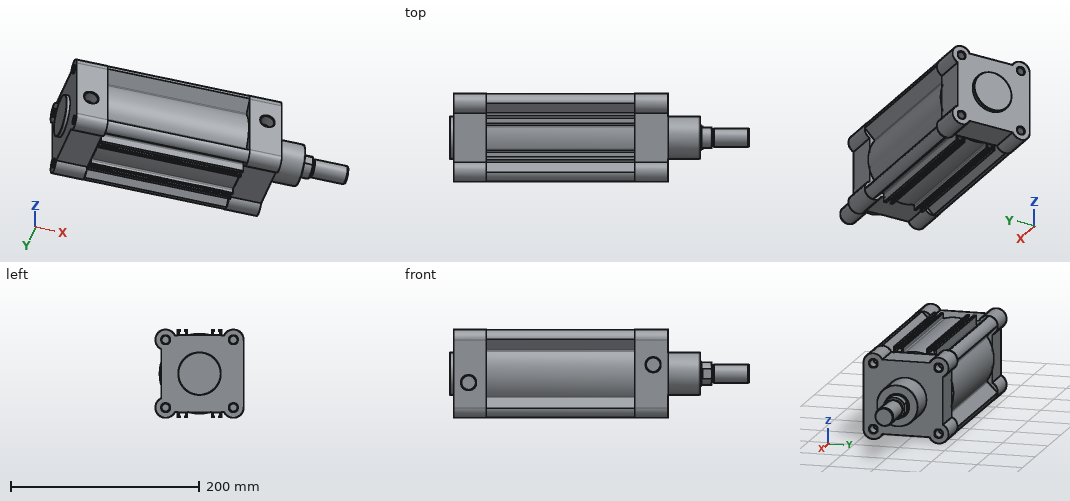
import cadquery as cq
import math


rear_cap_start = 4.0
rear_cap_end = 38.5
front_cap_start = 196.5
front_cap_end = 232.0
front_spigot_end = 266.0
wiper_lip_end = 266.6
wiper_end = 267.6
shoulder_end = 278.0
neck_end = 280.0
rod_end = 318.0

bolt_offset = 36.0
lobe_radius = 11.0
cap_half = 40.75
port_face = bolt_offset + lobe_radius
spigot_radius = 22.75
front_spigot_bevel_length = 1.5
spigot_bevel = 0.4

bolt_hole_radius = 4.2
bolt_hole_depth = 16.0
bolt_hole_chamfer = 0.8

port_radius = 7.5
port_chamfer = 0.8
port_depth = 14.0
port_inset = 16.0
port_height = 9.5

barrel_radius = 42.6
rail_round_radius = 10.75
rail_half_width = 7.07
rail_fillet = 1.0
ledge_height = 36.2
ledge_half_width = 27.0

slot_offset = 18.0
slot_opening = 5.0
slot_inner_width = 7.0
slot_inner_wall = 13.1
slot_outer_wall = 23.4
slot_floor = 41.5
slot_lip_bottom = 45.0
slot_top = 46.5
slot_inner_foot_fillet = 1.2
slot_outer_foot_fillet = 0.8

rod_radius = 12.2
wiper_radius = 13.3
across_flats = 22.0
flats_start = 268.5
shoulder_bevel_length = 1.0
shoulder_bevel = 0.2
neck_radius = 9.3
thread_radius = 10.0
thread_start_chamfer = 0.7
thread_end_chamfer_length = 1.5
thread_end_chamfer = 0.7


def disc(x_start, x_end, radius, y=0.0, z=0.0):
    """Cylinder along X."""
    return cq.Workplane("YZ", origin=(x_start, y, z)).circle(radius).extrude(x_end - x_start)


def block(x_start, x_end, y_min, y_max, z_min, z_max):
    """Box between the given limits."""
    return cq.Workplane("XY").box(
        x_end - x_start, y_max - y_min, z_max - z_min, centered=False
    ).translate((x_start, y_min, z_min))


def revolved(profile):
    """Turn a list of (x, radius) points around the X axis."""
    return cq.Workplane("XY").polyline(profile).close().revolve(360, (0, 0, 0), (1, 0, 0))


def chamfered_drill(radius, chamfer, depth, origin, direction):
    """Blind-hole cutter that is wider by the chamfer at its mouth."""
    start = cq.Vector(*origin)
    axis = cq.Vector(*direction)
    bore = cq.Solid.makeCylinder(radius, depth, start, axis)
    mouth = cq.Solid.makeCone(radius + chamfer, radius, chamfer, start, axis)
    return bore.fuse(mouth)


def cap(x_start, x_end, outer_x, inward, port_z):
    """Cap with four lobes, bolt holes in its outer face and a port in its -Y face."""
    body = block(x_start, x_end, -bolt_offset, cap_half, -cap_half, cap_half)
    body = body.union(block(x_start, x_end, -port_face, -bolt_offset, -bolt_offset, bolt_offset))
    for y in (-bolt_offset, bolt_offset):
        for z in (-bolt_offset, bolt_offset):
            body = body.union(disc(x_start, x_end, lobe_radius, y, z))
    for y in (-bolt_offset, bolt_offset):
        for z in (-bolt_offset, bolt_offset):
            body = body.cut(chamfered_drill(
                bolt_hole_radius, bolt_hole_chamfer, bolt_hole_depth, (outer_x, y, z), (inward, 0, 0)))
    port_x = outer_x + inward * port_inset
    return body.cut(chamfered_drill(
        port_radius, port_chamfer, port_depth, (port_x, -port_face, port_z), (0, 1, 0)))


def make_rear_cap():
    spigot = revolved([
        (0, 0),
        (0, spigot_radius - spigot_bevel),
        (spigot_bevel, spigot_radius),
        (rear_cap_start, spigot_radius),
        (rear_cap_start, 0),
    ])
    return cap(rear_cap_start, rear_cap_end, rear_cap_start, 1, -port_height).union(spigot)


def make_front_cap():
    spigot = revolved([
        (front_cap_end, 0),
        (front_cap_end, spigot_radius),
        (front_spigot_end - front_spigot_bevel_length, spigot_radius),
        (front_spigot_end, spigot_radius - spigot_bevel),
        (front_spigot_end, 0),
    ])
    return cap(front_cap_start, front_cap_end, front_cap_end, -1, port_height).union(spigot)


def corner_rail(angle):
    """Round-ended rail that runs out from the axis along one diagonal."""
    round_center = bolt_offset * math.sqrt(2)
    side_length = round_center + math.sqrt(rail_round_radius**2 - rail_half_width**2)
    return (
        cq.Workplane("YZ", origin=(rear_cap_end, 0, 0))
        .moveTo(0, -rail_half_width)
        .lineTo(side_length, -rail_half_width)
        .threePointArc((round_center + rail_round_radius, 0), (side_length, rail_half_width))
        .lineTo(0, rail_half_width)
        .close()
        .extrude(front_cap_start - rear_cap_end)
        .rotate((0, 0, 0), (1, 0, 0), angle)
    )


def slot_bars(y_min, y_max, z_min, z_max):
    """Full-length bar together with its three mirror images, for the four sensor slots."""
    upper = block(rear_cap_end, front_cap_start, y_min, y_max, z_min, z_max)
    lower = upper.mirror("XY")
    return [upper, lower, upper.mirror("XZ"), lower.mirror("XZ")]


def slot_cutters(width, z_max):
    """Cutters of the given width from the slot floor up, centred on each slot."""
    return slot_bars(slot_offset - width / 2, slot_offset + width / 2, slot_floor, z_max)


def lengthwise_edges(body, y, z):
    """Edges along X at the given distances from the two mid-planes."""
    return body.edges("|X").filter(
        lambda edge: math.isclose(abs(edge.Center().y), y, abs_tol=0.01)
        and math.isclose(abs(edge.Center().z), z, abs_tol=0.01)
    )


def make_barrel():
    body = disc(rear_cap_end, front_cap_start, barrel_radius)
    for angle in (45, 135, 225, 315):
        body = body.union(corner_rail(angle))

    foot_z = (math.sqrt(barrel_radius**2 - rail_half_width**2) - rail_half_width) / math.sqrt(2)
    foot_y = foot_z + rail_half_width * math.sqrt(2)
    body = lengthwise_edges(body, foot_y, foot_z).fillet(rail_fillet)

    body = body.union(block(
        rear_cap_end, front_cap_start, -ledge_half_width, ledge_half_width, -ledge_height, ledge_height))
    for solid_bar in slot_bars(slot_inner_wall, slot_outer_wall, 0, slot_top):
        body = body.union(solid_bar)
    inner_foot = math.sqrt(barrel_radius**2 - slot_inner_wall**2)
    body = lengthwise_edges(body, slot_inner_wall, inner_foot).fillet(slot_inner_foot_fillet)
    body = lengthwise_edges(body, slot_outer_wall, ledge_height).fillet(slot_outer_foot_fillet)
    for cutter in slot_cutters(slot_inner_width, slot_lip_bottom) + slot_cutters(slot_opening, slot_top):
        body = body.cut(cutter)
    return body


def make_rod():
    body = revolved([
        (front_spigot_end, 0),
        (front_spigot_end, wiper_radius),
        (wiper_lip_end, wiper_radius),
        (wiper_end, rod_radius),
        (shoulder_end - shoulder_bevel_length, rod_radius),
        (shoulder_end, rod_radius - shoulder_bevel),
        (shoulder_end, neck_radius),
        (neck_end, neck_radius),
        (neck_end + thread_start_chamfer, thread_radius),
        (rod_end - thread_end_chamfer_length, thread_radius),
        (rod_end, thread_radius - thread_end_chamfer),
        (rod_end, 0),
    ])
    for y_min, y_max in (
        (across_flats / 2, wiper_radius),
        (-wiper_radius, -across_flats / 2),
    ):
        body = body.cut(block(flats_start, shoulder_end, y_min, y_max, -wiper_radius, wiper_radius))
    return body


rear_cap = make_rear_cap()
front_cap = make_front_cap()
barrel = make_barrel()
rod = make_rod()

result = cq.Compound.makeCompound([
    *rear_cap.solids().vals(),
    *front_cap.solids().vals(),
    *barrel.solids().vals(),
    *rod.solids().vals(),
])